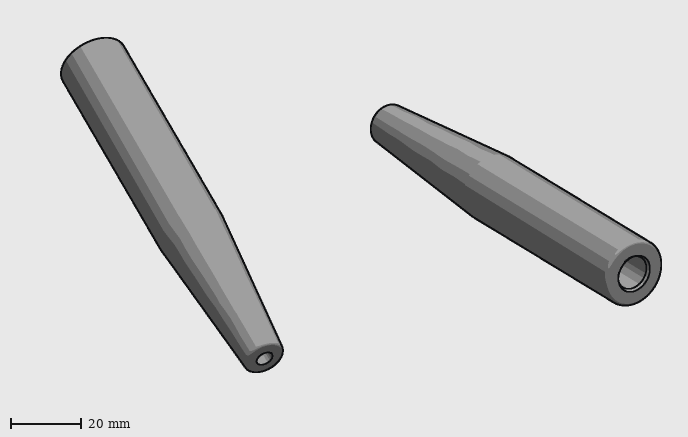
import cadquery as cq
import math

length = 120.0
body_diameter = 20.0
taper_start = 69.0
tip_diameter = 12.0
edge_radius = 1.0

mouth_diameter = 11.0
mouth_chamfer_depth = 1.0
bore_diameter = 10.0
bore_depth = 69.0
bore_point_angle = 118.0
through_diameter = 4.9

body_radius = body_diameter / 2
tip_radius = tip_diameter / 2
mouth_radius = mouth_diameter / 2
bore_radius = bore_diameter / 2
through_radius = through_diameter / 2


def revolve_about_x(profile):
    return profile.close().revolve(360, (0, 0, 0), (1, 0, 0))


def make_body():
    """Cylinder running into a tapered nose, with both end rims rounded."""
    profile = (
        cq.Workplane("XY")
        .lineTo(0, body_radius)
        .lineTo(taper_start, body_radius)
        .lineTo(length, tip_radius)
        .lineTo(length, 0)
    )
    return revolve_about_x(profile).faces("<X or >X").edges().fillet(edge_radius)


def make_bore():
    """Chamfered blind bore with a drill-point bottom and a through hole."""
    point_slope = math.tan(math.radians(bore_point_angle / 2))
    point_depth = (bore_radius - through_radius) / point_slope
    profile = (
        cq.Workplane("XY")
        .lineTo(0, mouth_radius)
        .lineTo(mouth_chamfer_depth, bore_radius)
        .lineTo(bore_depth, bore_radius)
        .lineTo(bore_depth + point_depth, through_radius)
        .lineTo(length, through_radius)
        .lineTo(length, 0)
    )
    return revolve_about_x(profile)


result = make_body().cut(make_bore())